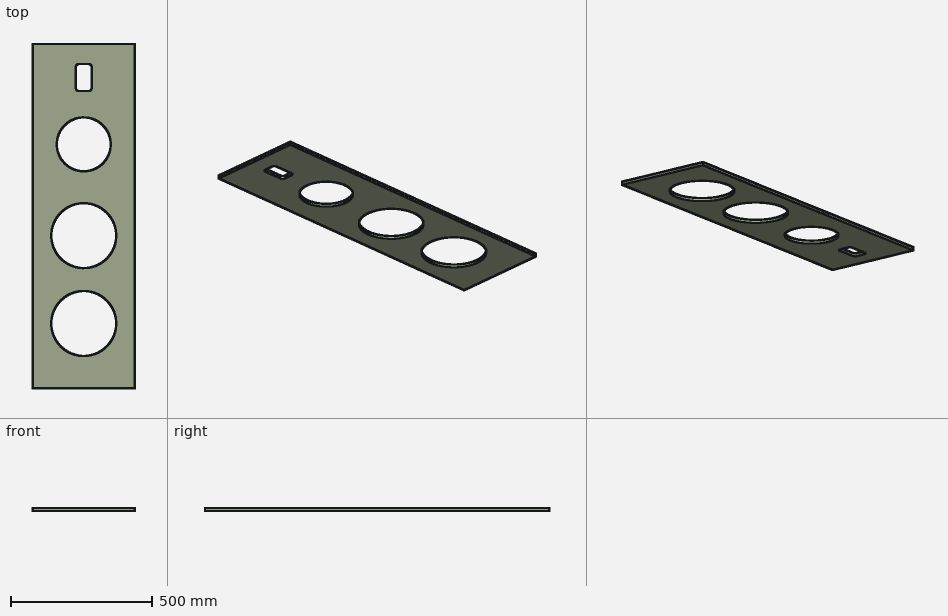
import cadquery as cq

plate_width = 362.0
plate_length = 1219.0
plate_thickness = 12.0

large_diameter = 229.0
small_diameter = 190.0
round_openings = [
    (-380.0, large_diameter),
    (-70.0, large_diameter),
    (254.0, small_diameter),
]

slot_width = 55.0
slot_length = 95.0
slot_center_y = 490.0
slot_corner_radius = 10.0


def round_cutter(center_y, diameter):
    """Cylinder through the full plate thickness."""
    return cq.Workplane("XY").center(0, center_y).circle(diameter / 2).extrude(plate_thickness)


def slot_cutter():
    """Rectangular block with rounded vertical edges, through the full plate thickness."""
    block = cq.Workplane("XY").center(0, slot_center_y).rect(slot_width, slot_length).extrude(plate_thickness)
    return block.edges("|Z").fillet(slot_corner_radius)


result = cq.Workplane("XY").rect(plate_width, plate_length).extrude(plate_thickness)
for opening_y, opening_diameter in round_openings:
    result = result.cut(round_cutter(opening_y, opening_diameter))
result = result.cut(slot_cutter())